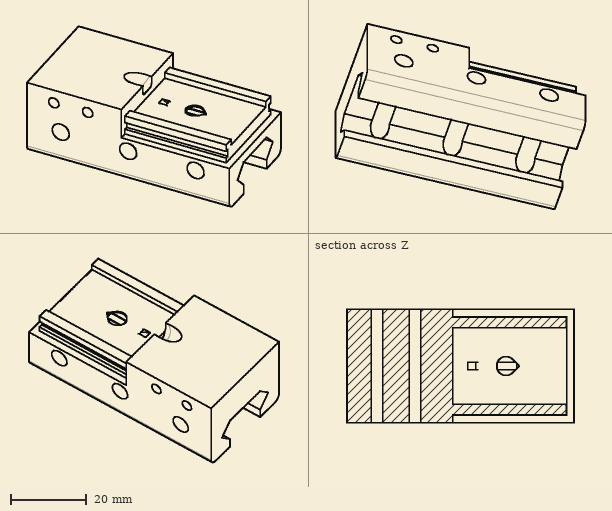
import cadquery as cq
import math

LENGTH = 60.0
WIDTH = 30.0
HEIGHT = 22.0
BLOCK_LENGTH = 28.0
SHELF_HEIGHT = 13.0
CORNER_RADIUS = 2.0

DECK_LENGTH = 30.0
RAIL_END = BLOCK_LENGTH + DECK_LENGTH
RAIL_INSET = 2.05
RAIL_WIDTH = 2.9
RAIL_TOP = 18.7
DECK_HEIGHT = 17.0
GROOVE_BOTTOM = 14.5
GROOVE_TOP = 16.6
GROOVE_DEPTH = 1.0

CHANNEL_HALF_WIDTH = 6.6
FLANK_RISE = 3.6
LIP_HEIGHT = 2.9

CLAMP_HOLE_DIAMETER = 5.0
CLAMP_HOLE_POSITIONS = (10.0, 30.0, 50.0)
CLAMP_HOLE_HEIGHT = 9.35
PIN_HOLE_DIAMETER = 3.0
PIN_HOLE_POSITIONS = (8.0, 18.0)
PIN_HOLE_HEIGHT = 18.0

SQUARE_X = 33.0
OPENING_WIDTH = 2.1
SHAFT_ANGLE = 30.0
SHAFT_RUN = 4.8
TEARDROP_X = 42.0
TEARDROP_DIAMETER = 5.0
TEARDROP_DEPTH = 0.5
SLOT_DEPTH = 0.25
SLOT_START = 39.65
SLOT_END = 44.9

SCOOP_RADIUS = 2.65
SCOOP_ANGLE = 28.0
SCOOP_FLOOR_X = 27.55
SCOOP_FLOOR_Z = 18.2
SCOOP_STRAIGHT = 2.0
SCOOP_BEND_RADIUS = 27.0
SCOOP_BEND_ANGLE = 25.0


def box(x_start, x_end, width, z_bottom, z_top):
    """Box centred on the part's middle plane Y = 0."""
    size = (x_end - x_start, width, z_top - z_bottom)
    return cq.Workplane("XY").box(*size, centered=(False, True, False)).translate((x_start, 0, z_bottom))


def make_body():
    shelf = box(0, LENGTH, WIDTH, 0, SHELF_HEIGHT).edges("|X and <Z").fillet(CORNER_RADIUS)
    block = box(0, BLOCK_LENGTH, WIDTH, CORNER_RADIUS, HEIGHT)
    return shelf.union(block)


def make_deck():
    deck_width = WIDTH - 2 * RAIL_INSET
    deck = box(BLOCK_LENGTH, RAIL_END, deck_width, SHELF_HEIGHT, RAIL_TOP)
    deck = deck.cut(box(BLOCK_LENGTH, RAIL_END, deck_width - 2 * RAIL_WIDTH, DECK_HEIGHT, RAIL_TOP))
    grooves = box(BLOCK_LENGTH, RAIL_END, deck_width, GROOVE_BOTTOM, GROOVE_TOP)
    web = box(BLOCK_LENGTH, RAIL_END, deck_width - 2 * GROOVE_DEPTH, GROOVE_BOTTOM, GROOVE_TOP)
    return deck.cut(grooves.cut(web))


def make_channel():
    half_profile = [
        (CHANNEL_HALF_WIDTH, 0),
        (CHANNEL_HALF_WIDTH, LIP_HEIGHT),
        (CHANNEL_HALF_WIDTH + FLANK_RISE, LIP_HEIGHT + FLANK_RISE),
        (CHANNEL_HALF_WIDTH, LIP_HEIGHT + 2 * FLANK_RISE),
    ]
    mirrored = [(-y, z) for y, z in reversed(half_profile)]
    return cq.Workplane("YZ").polyline(half_profile + mirrored).close().extrude(LENGTH)


def make_cross_holes(positions, height, diameter):
    points = [(x, height) for x in positions]
    return cq.Workplane("XZ").pushPoints(points).circle(diameter / 2).extrude(WIDTH / 2, both=True)


def make_teardrop_pocket():
    """Round pocket with a 90 degree point towards +X, and a shallow slot in its floor."""
    radius = TEARDROP_DIAMETER / 2
    tangent = radius / math.sqrt(2)
    pocket_floor = DECK_HEIGHT - TEARDROP_DEPTH
    pocket = (
        cq.Workplane("XY", origin=(TEARDROP_X, 0, pocket_floor))
        .moveTo(tangent, tangent)
        .threePointArc((-radius, 0), (tangent, -tangent))
        .lineTo(2 * tangent, 0)
        .close()
        .extrude(TEARDROP_DEPTH)
    )
    slot = box(SLOT_START, SLOT_END, OPENING_WIDTH, pocket_floor - SLOT_DEPTH, DECK_HEIGHT)
    outline = pocket.faces(">Z").wires().toPending().extrude(-TEARDROP_DEPTH - SLOT_DEPTH)
    return pocket.union(slot.intersect(outline))


def make_square_shaft():
    """Square opening in the deck leading into a shaft that slopes down towards +X."""
    start = SQUARE_X - OPENING_WIDTH / 2
    end = SQUARE_X + OPENING_WIDTH / 2
    drop = SHAFT_RUN * math.tan(math.radians(SHAFT_ANGLE))
    return (
        cq.Workplane("XZ")
        .polyline([
            (start, DECK_HEIGHT),
            (end, DECK_HEIGHT),
            (end + SHAFT_RUN, DECK_HEIGHT - drop),
            (start + SHAFT_RUN, DECK_HEIGHT - drop),
        ])
        .close()
        .extrude(OPENING_WIDTH / 2, both=True)
    )


def make_scoop():
    """Round cutter: a straight lower stretch, then a bend out through the top of the block."""
    slope = math.radians(SCOOP_ANGLE)
    uphill = cq.Vector(-math.cos(slope), 0, math.sin(slope))
    away_from_floor = cq.Vector(math.sin(slope), 0, math.cos(slope))
    lower_end = cq.Vector(SCOOP_FLOOR_X, 0, SCOOP_FLOOR_Z) + away_from_floor * SCOOP_RADIUS
    lower_plane = cq.Plane(lower_end, away_from_floor, uphill)
    straight = cq.Workplane(lower_plane).circle(SCOOP_RADIUS).extrude(SCOOP_STRAIGHT)
    bend_start = lower_end + uphill * SCOOP_STRAIGHT
    bend_plane = cq.Plane(bend_start, away_from_floor, uphill)
    bend = (
        cq.Workplane(bend_plane)
        .circle(SCOOP_RADIUS)
        .revolve(SCOOP_BEND_ANGLE, (SCOOP_BEND_RADIUS, 0, 0), (SCOOP_BEND_RADIUS, 1, 0))
    )
    return straight.union(bend)


result = make_body().union(make_deck())
result = result.cut(make_channel())
result = result.cut(make_cross_holes(CLAMP_HOLE_POSITIONS, CLAMP_HOLE_HEIGHT, CLAMP_HOLE_DIAMETER))
result = result.cut(make_cross_holes(PIN_HOLE_POSITIONS, PIN_HOLE_HEIGHT, PIN_HOLE_DIAMETER))
result = result.cut(make_square_shaft())
result = result.cut(make_teardrop_pocket())
result = result.cut(make_scoop())